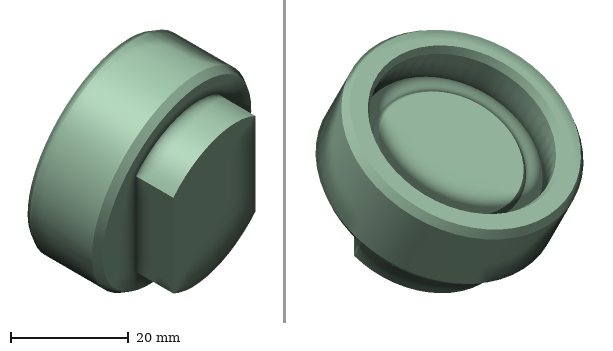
import cadquery as cq

rim_length = 16.0
rim_radius = 43.7 / 2
rim_chamfer_axial = 1.5
rim_chamfer_radial = 1.0

recess_depth = 8.1
recess_radius = 16.85
recess_mouth_radius = 17.6
recess_mouth_depth = 1.4

pad_base_radius = 13.85
pad_top_radius = 13.05
pad_height = 1.0

total_length = 24.0
hub_length = total_length - rim_length
hub_radius = 17.0
hub_across_flats = 23.0


def make_cap_body():
    """Revolve the rim, its recess and the raised conical pad about the X axis."""
    face_radius = rim_radius - rim_chamfer_radial
    profile = [
        (recess_depth - pad_height, 0),
        (recess_depth - pad_height, pad_top_radius),
        (recess_depth, pad_base_radius),
        (recess_depth, recess_radius),
        (recess_mouth_depth, recess_radius),
        (0, recess_mouth_radius),
        (0, face_radius),
        (rim_chamfer_axial, rim_radius),
        (rim_length - rim_chamfer_axial, rim_radius),
        (rim_length, face_radius),
        (rim_length, 0),
    ]
    axis_start = (0, 0, 0)
    axis_end = (1, 0, 0)
    full_turn = 360
    return cq.Workplane("XZ").polyline(profile).close().revolve(full_turn, axis_start, axis_end)


def make_hub():
    """Round hub behind the rim, cut to two parallel flats facing -Y and +Y."""
    hub = cq.Workplane("YZ").workplane(offset=rim_length).circle(hub_radius).extrude(hub_length)
    flats = (
        cq.Workplane("YZ")
        .workplane(offset=rim_length)
        .rect(hub_across_flats, 2 * hub_radius)
        .extrude(hub_length)
    )
    return hub.intersect(flats)


result = make_cap_body().union(make_hub())